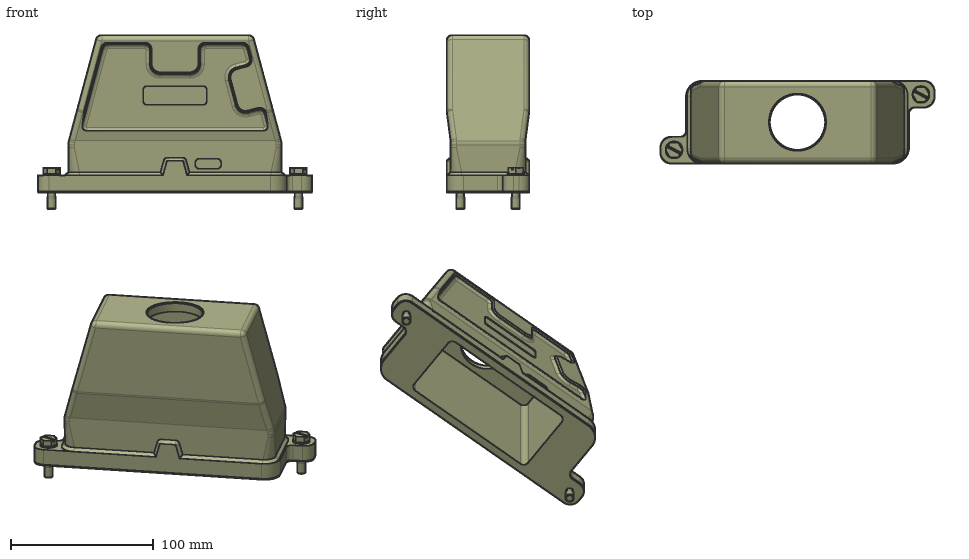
import cadquery as cq
import math

FLANGE_LENGTH = 156.3
WIDTH = 58.0
FLANGE_HEIGHT = 12.0
FLANGE_CORNER_RADIUS = 11.5
FLANGE_EDGE_HEIGHT = 1.0
FLANGE_EDGE_INSET = 0.4
EAR_SPAN = 192.0
EAR_WIDTH = 18.8
EAR_RADIUS = 7.5
EAR_ROOT_RADIUS = 3.8

HOOD_TOP = 110.2
SKIRT_LENGTH = 149.4
SKIRT_WIDTH = 52.6
FLARE_HEIGHT = 2.1
SKIRT_BOTTOM = FLANGE_HEIGHT + FLARE_HEIGHT
SKIRT_TOP = 31.7
SKIRT_RADIUS = 7.7
FLARE = 2.5
END_BEND = 35.0
END_ANGLE = 15.0
END_BEND_RADIUS = 11.0
SIDE_BEND = 36.5
SIDE_TOP_BEND = 56.8
SIDE_TOP_BEND_RADIUS = 9.6
HOOD_RADIUS = 4.0

ENTRY_DIAMETER = 38.5
ENTRY_CHAMFER = 0.8
ROOF_THICKNESS = 7.0
CAVITY_LENGTH = 99.8
CAVITY_WIDTH = 46.5
CAVITY_RADIUS = 3.8

PANEL_DEPTH = 3.0
PANEL_BOTTOM = 42.8
PANEL_TOP = 103.9
PANEL_HALF_BOTTOM = 66.2
PANEL_BOTTOM_RADIUS = 3.5
PANEL_RADIUS = 3.8
PANEL_FLOOR_RADIUS = 2.9
PANEL_LIP = 1.2
TAB_RADIUS = 7.0
TOP_TAB_HALF = 17.5
TOP_TAB_BOTTOM = 83.1
SIDE_TAB_START = 16.9
SIDE_TAB_END = 49.2
SIDE_TAB_REACH = 18.0

LABEL_DEPTH = 0.4
NAME_LABEL = (44.5, 12.9)
NAME_LABEL_CENTRE = (0, 68.0)
NAME_LABEL_RADIUS = 2.5
RATING_LABEL = (18.2, 7.1)
RATING_LABEL_CENTRE = (23.2, 20.2)
RATING_LABEL_RADIUS = 3.0

MARK_TOP = 22.3
MARK_BOTTOM = 3.8
MARK_HALF_TOP = 5.5
MARK_HALF_BOTTOM = 10.8
MARK_TAPER = 40.0
MARK_RADIUS = 0.8

SCREW_X = 86.4
SCREW_Y = 19.4
WASHER_DIAMETER = 12.0
WASHER_HEIGHT = 1.0
HEAD_CORNERS = 12.0
HEAD_HEIGHT = 5.2
SLOT_WIDTH = 1.2
SLOT_DEPTH = 1.3
SLOT_ANGLE = -28.0
SHANK_DIAMETER = 6.0
NECK_DIAMETER = 5.4
NECK_LENGTH = 2.5
NECK_CONE = 1.0
SHANK_LENGTH = 11.7
SHANK_CHAMFER = 0.5

HALF_WIDTH = WIDTH / 2
PANEL_FLOOR_Y = PANEL_DEPTH - HALF_WIDTH
BEVEL_ANGLE = 45.0
END_SLOPE = math.tan(math.radians(END_ANGLE))


def rounded_prism(plane, corners, depth):
    """Extrude a polygon of (u, v, radius) corners and round each upright edge."""
    base = cq.Workplane(plane)
    prism = base.polyline([(u, v) for u, v, _ in corners]).close().extrude(depth)
    for u, v, radius in corners:
        middle = base.plane.toWorldCoords((u, v, depth / 2)).toTuple()
        prism = prism.edges(cq.selectors.NearestToPointSelector(middle)).fillet(radius)
    return prism


def rounded_rectangle(length, width, radius, height):
    """Flat outline with equal corner radii, placed at the given height."""
    outline = cq.Sketch().rect(length, width).vertices().fillet(radius)
    return outline.moved(cq.Location((0, 0, height)))


def make_flange():
    half_length = FLANGE_LENGTH / 2
    ear_inner = HALF_WIDTH - EAR_WIDTH
    half_outline = [
        (half_length, -HALF_WIDTH, FLANGE_CORNER_RADIUS),
        (half_length, ear_inner, EAR_ROOT_RADIUS),
        (EAR_SPAN / 2, ear_inner, EAR_RADIUS),
        (EAR_SPAN / 2, HALF_WIDTH, EAR_RADIUS),
    ]
    other_half = [(-x, -y, radius) for x, y, radius in half_outline]
    flange = rounded_prism("XY", half_outline + other_half, FLANGE_HEIGHT)
    return flange.faces("<Z").chamfer(FLANGE_EDGE_INSET, FLANGE_EDGE_HEIGHT)


def make_skirt():
    """Upright wall with conical corners, flaring out where it meets the flange."""
    top = rounded_rectangle(SKIRT_LENGTH, SKIRT_WIDTH, HOOD_RADIUS, SKIRT_TOP)
    bottom = rounded_rectangle(SKIRT_LENGTH, SKIRT_WIDTH, SKIRT_RADIUS, SKIRT_BOTTOM)
    foot = rounded_rectangle(
        SKIRT_LENGTH + 2 * FLARE, SKIRT_WIDTH + 2 * FLARE, SKIRT_RADIUS + FLARE, FLANGE_HEIGHT
    )
    wall = cq.Workplane().placeSketch(bottom, top).loft(ruled=True)
    flare = cq.Workplane().placeSketch(foot, bottom).loft(ruled=True)
    return wall.union(flare)


def make_hood():
    """Tapering upper body: the end profile crossed with the side profile."""
    half_skirt = SKIRT_LENGTH / 2
    half_top = half_skirt - (HOOD_TOP - END_BEND) * END_SLOPE
    end_profile = [
        (half_skirt, SKIRT_TOP),
        (half_skirt, END_BEND),
        (half_top, HOOD_TOP),
        (-half_top, HOOD_TOP),
        (-half_skirt, END_BEND),
        (-half_skirt, SKIRT_TOP),
    ]
    side_profile = [
        (SKIRT_WIDTH / 2, SKIRT_TOP),
        (SKIRT_WIDTH / 2, SIDE_BEND),
        (HALF_WIDTH, SIDE_TOP_BEND),
        (HALF_WIDTH, HOOD_TOP),
        (-HALF_WIDTH, HOOD_TOP),
        (-HALF_WIDTH, SIDE_TOP_BEND),
        (-SKIRT_WIDTH / 2, SIDE_BEND),
        (-SKIRT_WIDTH / 2, SKIRT_TOP),
    ]
    lengthwise = cq.Workplane("XZ").polyline(end_profile).close().extrude(HALF_WIDTH, both=True)
    for x in (-half_skirt, half_skirt):
        bend = cq.selectors.NearestToPointSelector((x, 0, END_BEND))
        lengthwise = lengthwise.edges(bend).fillet(END_BEND_RADIUS)
    crosswise = cq.Workplane("YZ").polyline(side_profile).close().extrude(half_skirt, both=True)
    for y in (-HALF_WIDTH, HALF_WIDTH):
        bend = cq.selectors.NearestToPointSelector((0, y, SIDE_TOP_BEND))
        crosswise = crosswise.edges(bend).fillet(SIDE_TOP_BEND_RADIUS)
    hood = lengthwise.intersect(crosswise)
    corners = hood.edges("not(#Z)").edges("not(|Y)")
    return hood.newObject(corners.vals() + hood.edges(">Z").vals()).fillet(HOOD_RADIUS)


def make_mark():
    """Trapezoid flush with the flange side, with sloping walls down to the skirt."""
    profile = [
        (-MARK_HALF_BOTTOM, MARK_BOTTOM),
        (-MARK_HALF_TOP, MARK_TOP),
        (MARK_HALF_TOP, MARK_TOP),
        (MARK_HALF_BOTTOM, MARK_BOTTOM),
        (-MARK_HALF_BOTTOM, MARK_BOTTOM),
    ]
    outline = cq.Sketch().polygon(profile).vertices(">Y").fillet(MARK_RADIUS)
    depth = HALF_WIDTH - SKIRT_WIDTH / 2
    face = cq.Workplane("XZ", origin=(0, -HALF_WIDTH, 0)).placeSketch(outline)
    return face.extrude(-depth, taper=-MARK_TAPER)


def make_panel():
    """Cutter for the recess, with two raised tabs left standing at the top and right."""
    side_tilt = math.radians(END_ANGLE)

    def from_right_edge(along, inward):
        """Point measured up the sloping right edge and square to it from its lower end."""
        x = PANEL_HALF_BOTTOM - along * math.sin(side_tilt) - inward * math.cos(side_tilt)
        z = PANEL_BOTTOM + along * math.cos(side_tilt) - inward * math.sin(side_tilt)
        return x, z

    half_top = PANEL_HALF_BOTTOM - (PANEL_TOP - PANEL_BOTTOM) * END_SLOPE
    corners = [
        (-PANEL_HALF_BOTTOM, PANEL_BOTTOM, PANEL_BOTTOM_RADIUS),
        (-half_top, PANEL_TOP, PANEL_RADIUS),
        (-TOP_TAB_HALF, PANEL_TOP, PANEL_RADIUS),
        (-TOP_TAB_HALF, TOP_TAB_BOTTOM, TAB_RADIUS),
        (TOP_TAB_HALF, TOP_TAB_BOTTOM, TAB_RADIUS),
        (TOP_TAB_HALF, PANEL_TOP, PANEL_RADIUS),
        (half_top, PANEL_TOP, PANEL_RADIUS),
        (*from_right_edge(SIDE_TAB_END, 0), PANEL_RADIUS),
        (*from_right_edge(SIDE_TAB_END, SIDE_TAB_REACH), TAB_RADIUS),
        (*from_right_edge(SIDE_TAB_START, SIDE_TAB_REACH), TAB_RADIUS),
        (*from_right_edge(SIDE_TAB_START, 0), PANEL_RADIUS),
        (PANEL_HALF_BOTTOM, PANEL_BOTTOM, PANEL_BOTTOM_RADIUS),
    ]
    recess = rounded_prism("XZ", corners, PANEL_DEPTH - PANEL_LIP)
    lip = recess.faces("<Y").wires().toPending().workplane()
    lip = lip.extrude(PANEL_LIP, combine=False, taper=-BEVEL_ANGLE)
    recess = rounded_prism("XZ", corners, PANEL_DEPTH)
    recess = recess.faces(">Y").edges().fillet(PANEL_FLOOR_RADIUS)
    return recess.union(lip).translate((0, PANEL_FLOOR_Y, 0))


def make_label(size, centre, radius, face_y):
    label = cq.Workplane("XZ", origin=(centre[0], face_y, centre[1])).rect(*size)
    return label.extrude(LABEL_DEPTH, both=True).edges("|Y").fillet(radius)


def make_interior():
    """Cutter for the open-bottomed cavity and the round cable entry in the roof."""
    cavity = cq.Workplane().rect(CAVITY_LENGTH, CAVITY_WIDTH).extrude(HOOD_TOP - ROOF_THICKNESS)
    cavity = cavity.edges("|Z").fillet(CAVITY_RADIUS)
    bore = cq.Workplane().circle(ENTRY_DIAMETER / 2).extrude(HOOD_TOP)
    countersink = (
        cq.Workplane(origin=(0, 0, HOOD_TOP))
        .circle(ENTRY_DIAMETER / 2 + ENTRY_CHAMFER)
        .extrude(-ENTRY_CHAMFER, taper=BEVEL_ANGLE)
    )
    return cavity.union(bore).union(countersink)


def make_screw():
    washer = cq.Workplane().circle(WASHER_DIAMETER / 2).extrude(WASHER_HEIGHT)
    head = cq.Workplane().polygon(6, HEAD_CORNERS).extrude(HEAD_HEIGHT)
    slot = cq.Workplane(origin=(0, 0, HEAD_HEIGHT)).transformed(rotate=(0, 0, SLOT_ANGLE))
    slot = slot.rect(2 * WASHER_DIAMETER, SLOT_WIDTH).extrude(-SLOT_DEPTH)
    neck = NECK_DIAMETER / 2
    shank = SHANK_DIAMETER / 2
    half_profile = [
        (0, FLANGE_HEIGHT),
        (neck, FLANGE_HEIGHT),
        (neck, -NECK_LENGTH),
        (shank, -NECK_LENGTH - NECK_CONE),
        (shank, SHANK_CHAMFER - SHANK_LENGTH),
        (shank - SHANK_CHAMFER, -SHANK_LENGTH),
        (0, -SHANK_LENGTH),
    ]
    stem = cq.Workplane("XZ").polyline(half_profile).close().revolve(360, (0, 0), (0, 1))
    return washer.union(head).cut(slot).translate((0, 0, FLANGE_HEIGHT)).union(stem)


result = make_flange().union(make_skirt()).union(make_hood())
result = result.union(make_mark()).union(make_mark().mirror("XZ"))
result = result.cut(make_panel())
result = result.cut(make_label(NAME_LABEL, NAME_LABEL_CENTRE, NAME_LABEL_RADIUS, PANEL_FLOOR_Y))
result = result.cut(make_label(RATING_LABEL, RATING_LABEL_CENTRE, RATING_LABEL_RADIUS, -SKIRT_WIDTH / 2))
result = result.cut(make_interior())
for side in (-1, 1):
    result = result.union(make_screw().translate((side * SCREW_X, side * SCREW_Y, 0)))